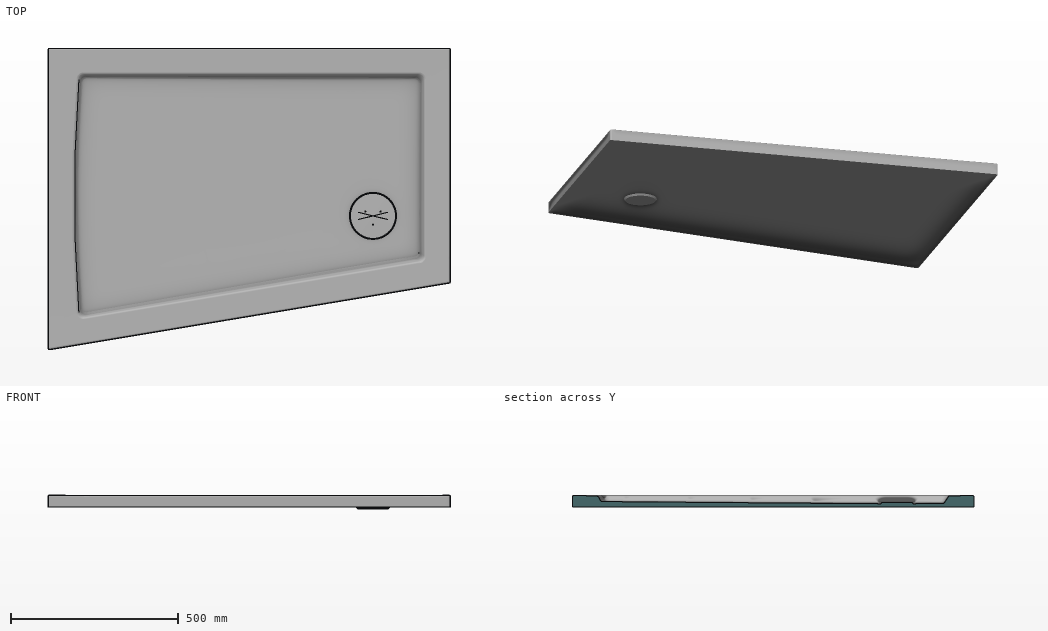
import cadquery as cq
import math

LENGTH = 1200.0
LEFT_DEPTH = 900.0
RIGHT_DEPTH = 700.0
CORNER_RADIUS = 5.0
TOP_EDGE_RADIUS = 5.0
BLANK_HEIGHT = 36.0

RIM_WIDTH = 76.5
LEFT_RIM_MIDDLE = 76.0
LEFT_RIM_END = 91.0
MOUTH_Z = 34.05
RIM_FALL = 0.012
RIM_CORNER_RADIUS = 18.0

WALL_DRAFT = 33.0
WALL_CORNER_RADIUS = 20.0
LIP_RADIUS = 8.0
FLOOR_EDGE_RADIUS = 8.0

DRAIN_X = 969.0
DRAIN_FROM_BACK = 500.0
FLOOR_LOW_Z = 10.0
FLOOR_FALL = 0.008

COVER_RADIUS = 70.0
COVER_BASE_Z = FLOOR_LOW_Z / 2
COVER_EDGE_Z = 14.0
COVER_EDGE_CHAMFER = 2.5
COVER_TOP_Z = 15.5
DIMPLE_COUNT = 3
DIMPLE_RADIUS = 1.2
DIMPLE_CIRCLE_RADIUS = 26.0
DIMPLE_DEPTH = 2.0
DIMPLE_FIRST_ANGLE = 30.0

BOSS_RADIUS = 49.0
BOSS_HEIGHT = 5.37
BOSS_CHAMFER = 4.0

BACK_Y = LEFT_DEPTH
DRAIN_Y = BACK_Y - DRAIN_FROM_BACK
SLANT = (LEFT_DEPTH - RIGHT_DEPTH) / LENGTH
LIP_BAND = RIM_FALL * RIM_WIDTH / 4
OUTER_EDGE_Z = MOUTH_Z + 3 * LIP_BAND


def front_edge_y(x, inset):
    """Y of the line that runs parallel to the front edge, `inset` behind it."""
    return x * SLANT + inset * math.hypot(1.0, SLANT)


def level_band(low_z, high_z):
    """Selector for the edges centred between two heights."""
    return cq.selectors.BoxSelector((-1, -1, low_z), (LENGTH + 1, LEFT_DEPTH + 1, high_z))


def tray_plate():
    corners = [(0, 0), (LENGTH, front_edge_y(LENGTH, 0)), (LENGTH, BACK_Y), (0, BACK_Y)]
    plate = cq.Workplane("XY").polyline(corners).close().extrude(BLANK_HEIGHT)
    return plate.edges("|Z").fillet(CORNER_RADIUS)


def basin_outline(growth, z):
    """Sharp-cornered basin outline at height z, grown outward from the mouth."""
    inset = RIM_WIDTH - growth
    left_x = LEFT_RIM_END - growth
    right_x = LENGTH - inset
    back_y = BACK_Y - inset
    front_left = (left_x, front_edge_y(left_x, inset))
    front_right = (right_x, front_edge_y(right_x, inset))
    left_middle = (LEFT_RIM_MIDDLE - growth, (back_y + front_left[1]) / 2)
    return (
        cq.Workplane("XY", origin=(0, 0, z))
        .moveTo(*front_left)
        .lineTo(*front_right)
        .lineTo(right_x, back_y)
        .lineTo(left_x, back_y)
        .threePointArc(left_middle, front_left)
        .close()
    )


def rim_cutter():
    """Flared block whose flank is the sloping rim, with conical corners."""
    prism = basin_outline(0, MOUTH_Z).extrude(1.0).edges("|Z").fillet(RIM_CORNER_RADIUS)
    mouth = prism.faces("<Z").wires().val()
    overlap = RIM_WIDTH / 10
    reach = 3 * RIM_WIDTH
    inner = mouth.offset2D(-overlap)[0].translate(cq.Vector(0, 0, -RIM_FALL * overlap))
    outer = mouth.offset2D(reach)[0].translate(cq.Vector(0, 0, RIM_FALL * reach))
    return cq.Workplane(cq.Solid.makeLoft([inner, outer], True))


def space_above_floor():
    """Everything above the floor cone, with the drain at its apex."""
    reach = LENGTH
    return (
        cq.Workplane("XZ", origin=(DRAIN_X, DRAIN_Y, 0))
        .moveTo(0, FLOOR_LOW_Z)
        .lineTo(reach, FLOOR_LOW_Z + FLOOR_FALL * reach)
        .lineTo(reach, BLANK_HEIGHT)
        .lineTo(0, BLANK_HEIGHT)
        .close()
        .revolve(360, (0, 0, 0), (0, 1, 0))
    )


def basin_cutter():
    """Drafted basin with rounded corners and a rounded floor edge."""
    growth = (BLANK_HEIGHT - MOUTH_Z) * math.tan(math.radians(WALL_DRAFT))
    well = basin_outline(growth, BLANK_HEIGHT).extrude(-BLANK_HEIGHT, taper=WALL_DRAFT)
    well = well.edges(level_band(MOUTH_Z / 2, MOUTH_Z)).fillet(WALL_CORNER_RADIUS)
    basin = well.intersect(space_above_floor())
    lowest_floor_edge = FLOOR_LOW_Z + FLOOR_FALL * 1.5 * COVER_RADIUS
    return basin.edges(level_band(lowest_floor_edge, MOUTH_Z / 2)).fillet(FLOOR_EDGE_RADIUS)


def tray():
    body = tray_plate().cut(rim_cutter())
    body = body.edges(level_band(OUTER_EDGE_Z, BLANK_HEIGHT)).fillet(TOP_EDGE_RADIUS)
    body = body.cut(basin_cutter())
    return body.edges(level_band(MOUTH_Z - LIP_BAND, MOUTH_Z + LIP_BAND)).fillet(LIP_RADIUS)


def half_cover():
    """Half of the domed drain cover, with a chamfered edge."""
    dome_radius = COVER_RADIUS - COVER_EDGE_CHAMFER
    return (
        cq.Workplane("XZ", origin=(DRAIN_X, DRAIN_Y, 0))
        .moveTo(0, COVER_BASE_Z)
        .lineTo(COVER_RADIUS, COVER_BASE_Z)
        .lineTo(COVER_RADIUS, COVER_EDGE_Z - COVER_EDGE_CHAMFER)
        .lineTo(dome_radius, COVER_EDGE_Z)
        .lineTo(0, COVER_TOP_Z)
        .close()
        .revolve(180, (0, 0, 0), (0, 1, 0))
    )


def drain_cover():
    """Two half covers, left unmerged along the joint through the centre."""
    first_half = half_cover()
    second_half = first_half.rotate((DRAIN_X, DRAIN_Y, 0), (DRAIN_X, DRAIN_Y, 1), 180)
    return first_half.union(second_half, clean=False)


def dimples():
    """Small round holes in the top of the drain cover."""
    return (
        cq.Workplane("XY", origin=(DRAIN_X, DRAIN_Y, COVER_TOP_Z))
        .polarArray(DIMPLE_CIRCLE_RADIUS, DIMPLE_FIRST_ANGLE, 360, DIMPLE_COUNT)
        .circle(DIMPLE_RADIUS)
        .extrude(-DIMPLE_DEPTH)
    )


def drain_boss():
    return (
        cq.Workplane("XY", origin=(DRAIN_X, DRAIN_Y, 0))
        .circle(BOSS_RADIUS)
        .extrude(-BOSS_HEIGHT)
        .faces("<Z")
        .chamfer(BOSS_CHAMFER)
    )


result = tray().union(drain_boss()).union(drain_cover(), clean=False).cut(dimples(), clean=False)